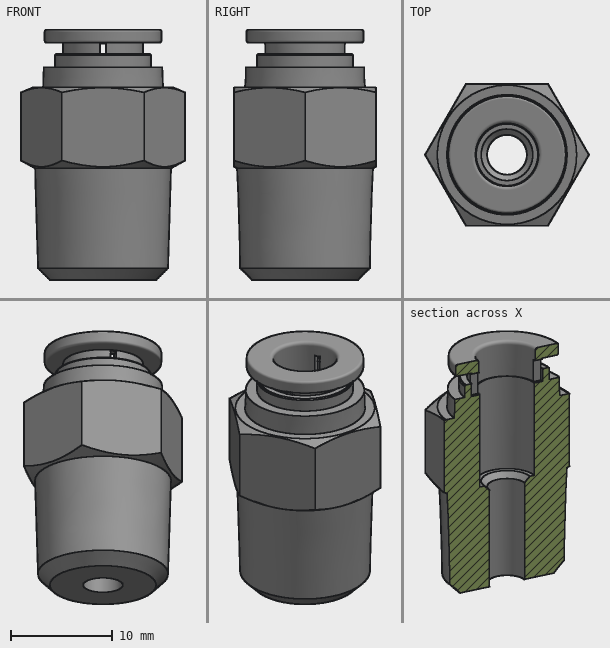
import cadquery as cq
import math

total_height = 24.7
thread_chamfer_top = 1.19
hex_bottom = 11.02
hex_top = 19.02
shoulder_top = 21.0
collar_top = 22.3
flange_bottom = 23.4

thread_tip_radius = 5.24
thread_end_radius = 6.42
thread_root_radius = 6.72
shoulder_base_radius = 5.93
shoulder_top_radius = 5.85
collar_radius = 4.75
neck_radius = 3.95
flange_radius = 5.78
flange_fillet = 0.25
collar_chamfer = 0.12

hex_across_flats = 14.0
hex_corner_radius = hex_across_flats / math.sqrt(3)
hex_top_flat_radius = 6.87
hex_top_chamfer_drop = 0.52
hex_bottom_chamfer_rise = 0.77

sleeve_bore_radius = 3.1
tube_bore_radius = 3.05
mouth_fillet = 0.37
sleeve_end = 20.95
tube_seat = hex_bottom
seat_cone_radius = 2.55
through_radius = 1.95
seat_cone_depth = seat_cone_radius - through_radius

slit_width = 0.57
slit_top = 23.3


def revolve(points):
    """Revolve an outline of (radius, height) points about Z."""
    return cq.Workplane("XZ").polyline(points).close().revolve(360, (0, 0), (0, 1))


def cylinder(radius, bottom, top):
    return cq.Workplane("XY").workplane(offset=bottom).circle(radius).extrude(top - bottom)


def make_thread():
    """Tapered threaded end, chamfered at its tip."""
    return revolve([
        (0, 0),
        (thread_tip_radius, 0),
        (thread_end_radius, thread_chamfer_top),
        (thread_root_radius, hex_bottom),
        (0, hex_bottom),
    ])


def make_hex():
    """Hexagon with its corners cut by a cone at each end."""
    prism = (
        cq.Workplane("XY").workplane(offset=hex_bottom)
        .polygon(6, 2 * hex_corner_radius).extrude(hex_top - hex_bottom)
    )
    corner_envelope = revolve([
        (0, hex_bottom),
        (thread_root_radius, hex_bottom),
        (hex_corner_radius, hex_bottom + hex_bottom_chamfer_rise),
        (hex_corner_radius, hex_top - hex_top_chamfer_drop),
        (hex_top_flat_radius, hex_top),
        (0, hex_top),
    ])
    return prism.intersect(corner_envelope)


def make_shoulder():
    return revolve([
        (0, hex_top),
        (shoulder_base_radius, hex_top),
        (shoulder_top_radius, shoulder_top),
        (0, shoulder_top),
    ])


def make_collar():
    return cylinder(collar_radius, shoulder_top, collar_top).faces(">Z").edges().chamfer(collar_chamfer)


def make_flange():
    return cylinder(flange_radius, flange_bottom, total_height).edges("%CIRCLE").fillet(flange_fillet)


def make_bore():
    """Sleeve bore, tube bore, conical seat and through hole."""
    return revolve([
        (0, 0),
        (through_radius, 0),
        (through_radius, tube_seat - seat_cone_depth),
        (seat_cone_radius, tube_seat),
        (tube_bore_radius, tube_seat),
        (tube_bore_radius, sleeve_end),
        (sleeve_bore_radius, sleeve_end),
        (sleeve_bore_radius, total_height),
        (0, total_height),
    ])


def make_slit():
    """Narrow slit along Y that stays within the neck radius."""
    slit_height = slit_top - sleeve_end
    blade = (
        cq.Workplane("XY").workplane(offset=sleeve_end)
        .rect(slit_width, 2 * flange_radius).extrude(slit_height)
    )
    return blade.intersect(cylinder(neck_radius, sleeve_end, slit_top))


body = make_thread().union(make_hex()).union(make_shoulder()).union(make_collar())
body = body.union(cylinder(neck_radius, collar_top, flange_bottom)).union(make_flange())
body = body.cut(make_bore())
mouth_edge = cq.selectors.RadiusNthSelector(0)
body = body.faces(">Z").edges(mouth_edge).fillet(mouth_fillet)
result = body.cut(make_slit())